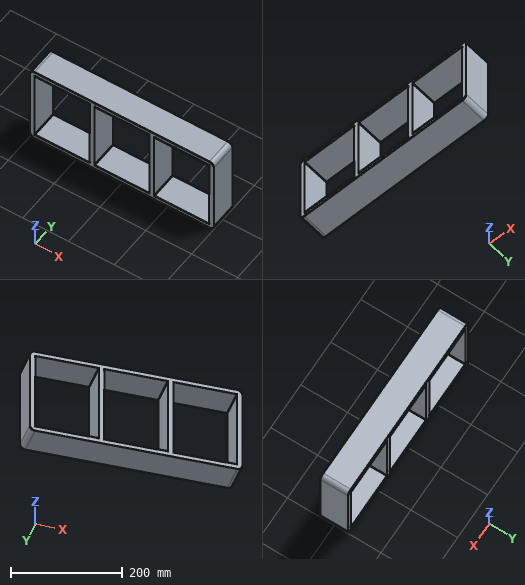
import cadquery as cq

length = 401.5
depth = 60.0
height = 179.5
corner_radius = 10.0

wall = 10.5
opening_count = 3
opening_width = (length - (opening_count + 1) * wall) / opening_count
opening_height = height - 2 * wall
opening_pitch = opening_width + wall

frame = cq.Workplane("XY").box(length, depth, height).edges("|Y").fillet(corner_radius)

openings = (
    cq.Workplane("XZ")
    .rarray(opening_pitch, 4, opening_count, 1)
    .rect(opening_width, opening_height)
    .extrude(depth, both=True)
)

result = frame.cut(openings)